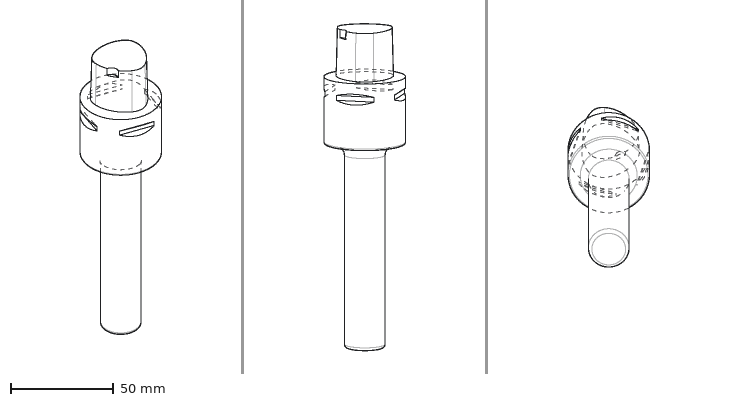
import cadquery as cq
import math

total_length = 159.0
collar_diameter = 40.0
shank_diameter = 20.0

coupling_height = 24.0
coupling_base_diameter = 28.1
coupling_taper = 1 / 20
lobe_eccentricity = 1.0
lobe_count = 3
points_per_face = 7

notch_radius = 3.5
notch_center_y = -14.3
notch_depth = 4.0

collar_height = 33.2
collar_edge_radius = 1.0
underside_angle = 10.0
neck_radius = 4.8
shank_end_radius = 1.7

groove_count = 4
groove_first_angle = 45.0
groove_drop = 8.0
groove_floor_height = 2.4
groove_mouth_height = 5.4
groove_depth = 2.4

collar_radius = collar_diameter / 2
shank_radius = shank_diameter / 2
collar_top_z = total_length - coupling_height
collar_bottom_z = collar_top_z - collar_height


def make_body():
    """Revolve the collar and shank, with a sloped underside and a rounded neck."""
    slope_drop = (collar_radius - shank_radius) * math.tan(math.radians(underside_angle))
    neck_z = collar_bottom_z - slope_drop
    body = (
        cq.Workplane("XZ")
        .moveTo(0, 0)
        .lineTo(shank_radius, 0)
        .lineTo(shank_radius, neck_z)
        .lineTo(collar_radius, collar_bottom_z)
        .lineTo(collar_radius, collar_top_z)
        .lineTo(0, collar_top_z)
        .close()
        .revolve(360, (0, 0, 0), (0, 1, 0))
    )
    neck_edge = cq.selectors.BoxSelector(
        (-collar_radius, -collar_radius, neck_z - 0.2),
        (collar_radius, collar_radius, neck_z + 0.2),
    )
    collar_edge = cq.selectors.BoxSelector(
        (-collar_radius, -collar_radius, collar_bottom_z - 0.2),
        (collar_radius, collar_radius, collar_bottom_z + 0.2),
    )
    body = body.edges("%CIRCLE").edges(neck_edge).fillet(neck_radius)
    body = body.edges("%CIRCLE").edges(collar_edge).fillet(collar_edge_radius)
    return body.faces("<Z").edges().fillet(shank_end_radius)


def lobe_point(mean_radius, normal_angle):
    """Point and tangent of the constant-width lobed curve where its normal has this angle."""
    lobe_angle = lobe_count * (normal_angle - math.pi / 2)
    distance = mean_radius + lobe_eccentricity * math.cos(lobe_angle)
    shift = -lobe_count * lobe_eccentricity * math.sin(lobe_angle)
    cosine = math.cos(normal_angle)
    sine = math.sin(normal_angle)
    point = (distance * cosine - shift * sine, distance * sine + shift * cosine)
    return point, (-sine, cosine)


def lobed_wire(mean_radius, z):
    """Closed outline with one lobe on +Y, split into alternating corner and flank curves."""
    face_count = 2 * lobe_count
    face_angle = 2 * math.pi / face_count
    edges = []
    for face in range(face_count):
        samples = []
        for step in range(points_per_face):
            angle = face_angle * (face + step / (points_per_face - 1))
            samples.append(lobe_point(mean_radius, angle))
        points = [cq.Vector(x, y, z) for (x, y), _ in samples]
        ends = [cq.Vector(*samples[i][1], 0) for i in (0, -1)]
        edges.append(cq.Edge.makeSpline(points, tangents=ends))
    return cq.Wire.assembleEdges(edges)


def make_coupling():
    base_radius = coupling_base_diameter / 2
    top_radius = base_radius - coupling_taper * coupling_height / 2
    wires = [lobed_wire(base_radius, collar_top_z), lobed_wire(top_radius, total_length)]
    coupling = cq.Workplane(obj=cq.Solid.makeLoft(wires, True))
    notch = (
        cq.Workplane("XY", origin=(0, notch_center_y, total_length - notch_depth))
        .circle(notch_radius)
        .extrude(notch_depth)
    )
    return coupling.cut(notch)


def make_groove(angle):
    """Straight trapezoidal cutter, flared outward, across the collar at the given angle."""
    half_floor = groove_floor_height / 2
    half_mouth = groove_mouth_height / 2
    floor_x = collar_radius - groove_depth
    profile = [
        (floor_x, -half_floor),
        (collar_radius, -half_mouth),
        (collar_radius, half_mouth),
        (floor_x, half_floor),
    ]
    return (
        cq.Workplane("XZ", origin=(0, 0, collar_top_z - groove_drop))
        .polyline(profile)
        .close()
        .extrude(collar_radius, both=True)
        .rotate((0, 0, 0), (0, 0, 1), angle)
    )


result = make_body().union(make_coupling())
for index in range(groove_count):
    result = result.cut(make_groove(groove_first_angle + index * 360 / groove_count))